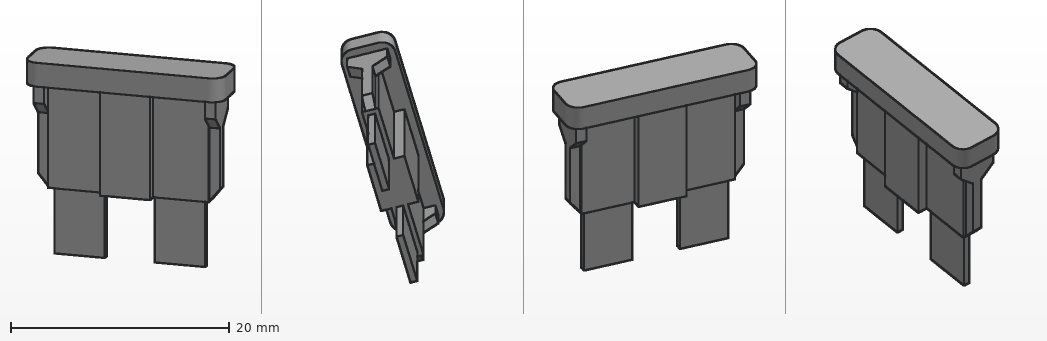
import cadquery as cq


head_length = 19.05
head_depth = 5.09
head_height = 2.29
head_corner_radius = 1.28

body_bottom_z = -12.42
core_width = 15.43
core_depth = 1.58
centre_block_width = 4.8
centre_block_depth = 3.55

wing_span = 17.5
shoulder_depth = 3.81
web_depth = 1.0
taper_top_z = -4.08
taper_bottom_z = -5.35
wing_chamfer_height = 1.25

blade_bottom_z = -18.8
blade_width = 4.84
blade_thickness = 0.65

head_bottom_z = -head_height
wing_width = (wing_span - core_width) / 2


def block(width, depth, bottom_z, top_z, centre_x=0):
    """Box centred on Y, spanning two heights."""
    return (
        cq.Workplane("XY")
        .box(width, depth, top_z - bottom_z, centered=(True, True, False))
        .translate((centre_x, 0, bottom_z))
    )


def make_head():
    head = block(head_length, head_depth, head_bottom_z, 0)
    return head.edges("|Z").fillet(head_corner_radius)


def make_left_wing():
    """Shoulder-and-web profile along X, with its lower outer corner cut off."""
    wing = (
        cq.Workplane("YZ", origin=(-wing_span / 2, 0, 0))
        .polyline([
            (-shoulder_depth / 2, head_bottom_z),
            (-shoulder_depth / 2, taper_top_z),
            (-web_depth / 2, taper_bottom_z),
            (-web_depth / 2, body_bottom_z),
            (web_depth / 2, body_bottom_z),
            (web_depth / 2, taper_bottom_z),
            (shoulder_depth / 2, taper_top_z),
            (shoulder_depth / 2, head_bottom_z),
        ])
        .close()
        .extrude(wing_width)
    )
    corner = (
        cq.Workplane("XZ")
        .moveTo(-wing_span / 2, body_bottom_z)
        .lineTo(-core_width / 2, body_bottom_z)
        .lineTo(-wing_span / 2, body_bottom_z + wing_chamfer_height)
        .close()
        .extrude(web_depth, both=True)
    )
    return wing.cut(corner)


def make_body():
    core = block(core_width, core_depth, body_bottom_z, head_bottom_z)
    centre = block(centre_block_width, centre_block_depth, body_bottom_z, head_bottom_z)
    wing = make_left_wing()
    return core.union(centre).union(wing).union(wing.mirror("YZ"))


def make_blade(side):
    """Flat blade below the body, its inner edge in line with the central block."""
    centre_x = side * (centre_block_width + blade_width) / 2
    return block(blade_width, blade_thickness, blade_bottom_z, body_bottom_z, centre_x)


result = make_head().union(make_body())
for side in (-1, 1):
    result = result.union(make_blade(side))